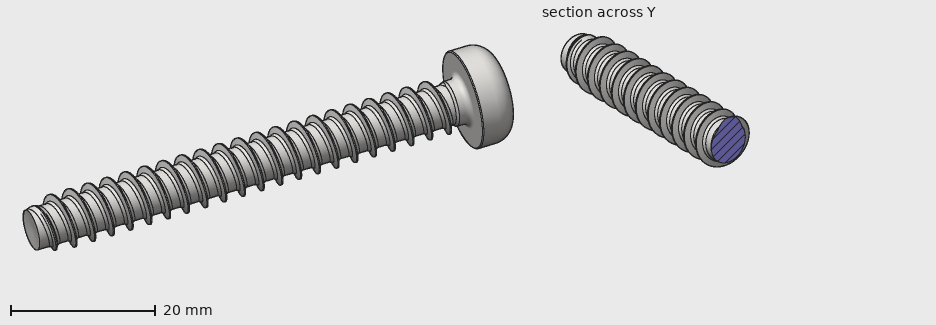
import cadquery as cq
import math


head_diameter = 14.1
head_height = 5.59
crown_radius = 2.8
rim_chamfer = 0.15

shank_length = 65.0
core_radius = 2.9
tip_hollow_depth = 0.25
neck_radius = 3.25
neck_fillet = 0.9
neck_length = 1.85
neck_taper_length = 0.35

thread_radius = 4.0
thread_pitch = 2.822
crest_width = 0.2
flank_angle = 15.0
foot_radius = 3.1
foot_width = 2.06
root_radius = core_radius - 0.1
points_per_turn = 24

crest_at_positive_x = 3.55
thread_start = 1.3
full_height_start = 3.2
full_height_end = shank_length - 3.5
thread_end = shank_length - 0.3
runout_radius = core_radius - 0.05


def make_head_and_core():
    """Revolve the head, filleted neck and plain hollow-tipped core around Y."""
    head_radius = head_diameter / 2
    quarter = math.sqrt(0.5)
    crown_center_x = head_radius - crown_radius
    crown_center_y = head_height - crown_radius
    fillet_center_x = neck_radius + neck_fillet
    return (
        cq.Workplane("XY")
        .moveTo(0, head_height)
        .lineTo(crown_center_x, head_height)
        .threePointArc(
            (crown_center_x + crown_radius * quarter, crown_center_y + crown_radius * quarter),
            (head_radius, crown_center_y),
        )
        .lineTo(head_radius, rim_chamfer)
        .lineTo(head_radius - rim_chamfer, 0)
        .lineTo(fillet_center_x, 0)
        .threePointArc(
            (fillet_center_x - neck_fillet * quarter, -neck_fillet + neck_fillet * quarter),
            (neck_radius, -neck_fillet),
        )
        .lineTo(neck_radius, -neck_length)
        .lineTo(core_radius, -neck_length - neck_taper_length)
        .lineTo(core_radius, -shank_length)
        .lineTo(0, -shank_length + tip_hollow_depth)
        .close()
        .revolve(360, (0, 0, 0), (0, 1, 0))
    )


def radius_limit(distance):
    """Return the largest ridge radius allowed at a distance from the head underside."""
    rise = (distance - thread_start) / (full_height_start - thread_start)
    fall = (thread_end - distance) / (thread_end - full_height_end)
    return runout_radius + (thread_radius - runout_radius) * min(1, rise, fall)


def thread_point(corner, distance):
    """Place one profile corner (radius, offset along the axis) on the right-handed helix."""
    radius, offset = corner
    angle = 2 * math.pi * (distance - crest_at_positive_x) / thread_pitch
    local_radius = min(radius, radius_limit(distance))
    return cq.Vector(
        local_radius * math.cos(angle),
        -distance - offset,
        local_radius * math.sin(angle),
    )


def thread_edge(corner, start, end):
    """Run one profile corner along the helix between two crest distances."""
    steps = math.ceil(points_per_turn * (end - start) / thread_pitch)
    distances = [start + (end - start) * step / steps for step in range(steps + 1)]
    return cq.Edge.makeSpline([thread_point(corner, distance) for distance in distances])


def make_thread():
    """Build the ridge from ruled helical faces, one set per turn, with closed ends."""
    crest_half = crest_width / 2
    flank_run = (thread_radius - foot_radius) * math.tan(math.radians(flank_angle))
    foot_half = foot_width / 2
    profile = [
        (root_radius, -foot_half),
        (foot_radius, -crest_half - flank_run),
        (thread_radius, -crest_half),
        (thread_radius, crest_half),
        (foot_radius, crest_half + flank_run),
        (root_radius, foot_half),
    ]
    full_turns = math.ceil((full_height_end - full_height_start) / thread_pitch)
    turn_length = (full_height_end - full_height_start) / full_turns
    stations = [thread_start]
    stations += [full_height_start + turn_length * turn for turn in range(full_turns + 1)]
    stations += [thread_end]

    faces = []
    for start, end in zip(stations, stations[1:]):
        edges = [thread_edge(corner, start, end) for corner in profile]
        for edge, next_edge in zip(edges, edges[1:] + edges[:1]):
            faces.append(cq.Face.makeRuledSurface(edge, next_edge))
    for distance in (thread_start, thread_end):
        outline = [thread_point(corner, distance) for corner in profile]
        faces.append(cq.Face.makeFromWires(cq.Wire.makePolygon(outline, close=True)))
    return cq.Solid.makeSolid(cq.Shell.makeShell(faces))


def make_tip_trim():
    """Fill the space beyond the tip that the last thread turn runs into."""
    return (
        cq.Workplane("XZ", origin=(0, -shank_length, 0))
        .circle(thread_radius)
        .extrude(foot_width)
    )


thread = cq.Workplane(make_thread())
result = make_head_and_core().union(thread).cut(make_tip_trim())